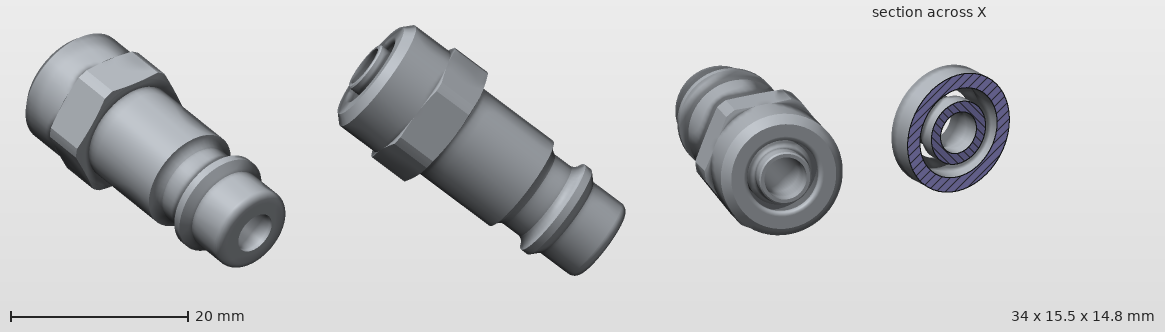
import cadquery as cq
import math

OVERALL_LENGTH = 34.0

NUT_FRONT = 0.9
NUT_DIAMETER = 14.15
NUT_CHAMFER = 1.0
HEX_FRONT = 6.8
NUT_BACK = 11.83
HEX_ACROSS_FLATS = 14.0
HEX_CORNER_DIAMETER = 15.5
HEX_TILT = 7.7
HEX_CHAMFER_DIAMETER = 14.0
HEX_CHAMFER_ANGLE = 15.0
HOSE_HOLE_DIAMETER = 8.25
HOSE_HOLE_ROUND = 0.5
NUT_BORE_DIAMETER = 10.6
NUT_BORE_FRONT = 1.55
SHANK_FRONT = 6.8

BORE_DIAMETER = 4.9
STEM_DIAMETER = 6.05
STEM_CHAMFER = 0.17
CONE_FRONT = 2.07
CONE_DIAMETER = 7.55
CONE_LENGTH = 1.0
BODY_DIAMETER = 12.0
GROOVE_DIAMETER = 9.75
BODY_BACK = 22.45
GROOVE_FLOOR_FRONT = 23.5
GROOVE_FLOOR_BACK = 25.85
COLLAR_FRONT = 26.95
COLLAR_BACK = 27.88
GROOVE_FLANK_RADIUS = 1.7
TIP_DIAMETER = 10.0
TIP_FRONT = COLLAR_BACK + (BODY_DIAMETER - TIP_DIAMETER) / 2
TIP_ROUND = 1.02


def revolve_about_x(profile):
    """Turn a closed profile, drawn as X against radius, about the X axis."""
    return profile.close().revolve(360, (0, 0, 0), (1, 0, 0))


def make_hexagon():
    """Hexagon with its corners turned round and chamfered at both ends."""
    length = NUT_BACK - HEX_FRONT
    prism = (
        cq.Workplane("YZ", origin=(HEX_FRONT, 0, 0))
        .polygon(6, HEX_ACROSS_FLATS / math.cos(math.pi / 6))
        .extrude(length)
        .rotate((0, 0, 0), (1, 0, 0), -HEX_TILT)
    )
    corner_radius = HEX_CORNER_DIAMETER / 2
    end_radius = HEX_CHAMFER_DIAMETER / 2
    chamfer_length = (corner_radius - end_radius) * math.tan(math.radians(HEX_CHAMFER_ANGLE))
    turned_limit = revolve_about_x(
        cq.Workplane("XY")
        .moveTo(HEX_FRONT, 0)
        .lineTo(HEX_FRONT, end_radius)
        .lineTo(HEX_FRONT + chamfer_length, corner_radius)
        .lineTo(NUT_BACK - chamfer_length, corner_radius)
        .lineTo(NUT_BACK, end_radius)
        .lineTo(NUT_BACK, 0)
    )
    return prism.intersect(turned_limit)


def make_nut():
    """Chamfered sleeve and hexagon, with a rounded hose hole and a wider bore behind it."""
    outer_radius = NUT_DIAMETER / 2
    hole_radius = HOSE_HOLE_DIAMETER / 2
    bore_radius = NUT_BORE_DIAMETER / 2
    sleeve = revolve_about_x(
        cq.Workplane("XY")
        .moveTo(NUT_FRONT, 0)
        .lineTo(NUT_FRONT, outer_radius - NUT_CHAMFER)
        .lineTo(NUT_FRONT + NUT_CHAMFER, outer_radius)
        .lineTo(HEX_FRONT, outer_radius)
        .lineTo(HEX_FRONT, 0)
    )
    opening = revolve_about_x(
        cq.Workplane("XY")
        .moveTo(NUT_FRONT, 0)
        .lineTo(NUT_FRONT, hole_radius + HOSE_HOLE_ROUND)
        .radiusArc((NUT_FRONT + HOSE_HOLE_ROUND, hole_radius), -HOSE_HOLE_ROUND)
        .lineTo(NUT_BORE_FRONT, hole_radius)
        .lineTo(NUT_BORE_FRONT, bore_radius)
        .lineTo(NUT_BACK, bore_radius)
        .lineTo(NUT_BACK, 0)
    )
    return sleeve.union(make_hexagon()).cut(opening)


def make_plug():
    """Hose stem, shank, grooved body and rounded tip, bored through."""
    bore_radius = BORE_DIAMETER / 2
    stem_radius = STEM_DIAMETER / 2
    cone_radius = CONE_DIAMETER / 2
    shank_radius = NUT_BORE_DIAMETER / 2
    body_radius = BODY_DIAMETER / 2
    groove_radius = GROOVE_DIAMETER / 2
    tip_radius = TIP_DIAMETER / 2
    return revolve_about_x(
        cq.Workplane("XY")
        .moveTo(0, bore_radius)
        .lineTo(0, stem_radius - STEM_CHAMFER)
        .lineTo(STEM_CHAMFER, stem_radius)
        .lineTo(CONE_FRONT, stem_radius)
        .lineTo(CONE_FRONT + CONE_LENGTH, cone_radius)
        .lineTo(SHANK_FRONT, cone_radius)
        .lineTo(SHANK_FRONT, shank_radius)
        .lineTo(NUT_BACK, shank_radius)
        .lineTo(NUT_BACK, body_radius)
        .lineTo(BODY_BACK, body_radius)
        .radiusArc((GROOVE_FLOOR_FRONT, groove_radius), -GROOVE_FLANK_RADIUS)
        .lineTo(GROOVE_FLOOR_BACK, groove_radius)
        .radiusArc((COLLAR_FRONT, body_radius), -GROOVE_FLANK_RADIUS)
        .lineTo(COLLAR_BACK, body_radius)
        .lineTo(TIP_FRONT, tip_radius)
        .lineTo(OVERALL_LENGTH - TIP_ROUND, tip_radius)
        .radiusArc((OVERALL_LENGTH, tip_radius - TIP_ROUND), TIP_ROUND)
        .lineTo(OVERALL_LENGTH, bore_radius)
    )


nut = make_nut()
plug = make_plug()

result = cq.Compound.makeCompound([nut.val(), plug.val()])